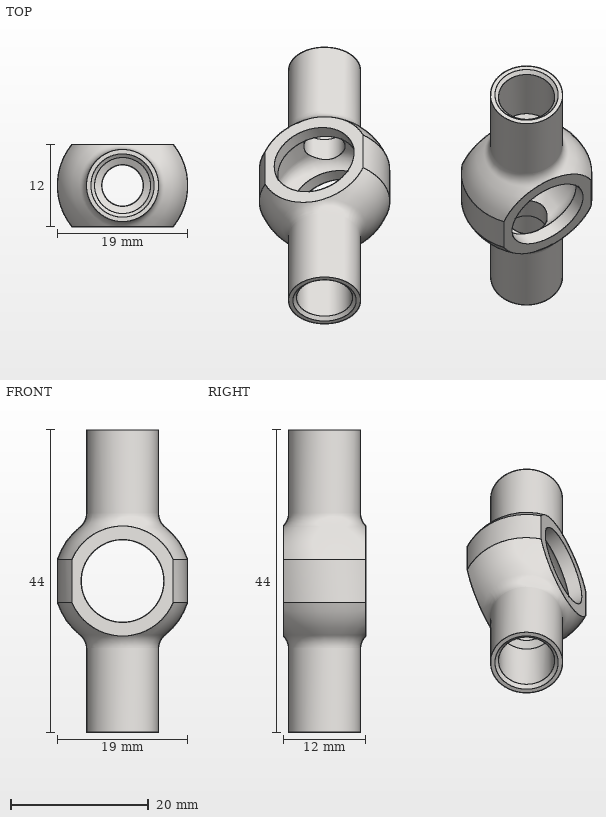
import cadquery as cq
import math

sphere_radius = 10.0
waist_radius = 9.5
body_depth = 12.0
waist_half_height = math.sqrt(sphere_radius**2 - waist_radius**2)

total_height = 44.0
tube_radius = 10.5 / 2
neck_fillet_radius = 2.5

passage_radius = 6.0 / 2
tube_bore_radius = 8.15 / 2
tube_bore_depth = 10.0
drill_point_angle = 118.0
mouth_radius = 9.2 / 2
mouth_chamfer_depth = 0.5

cross_bore_radius = 12.0 / 2
groove_radius = 8.0
groove_width = 8.0
groove_corner_radius = 2.5

half_height = total_height / 2


def make_outer_body():
    """Revolve the outer profile about Z and flatten the front and back."""
    fillet_x = tube_radius + neck_fillet_radius
    fillet_distance = sphere_radius + neck_fillet_radius
    fillet_z = math.sqrt(fillet_distance**2 - fillet_x**2)
    sphere_angle = math.atan2(fillet_z, fillet_x)
    waist_angle = math.atan2(waist_half_height, waist_radius)
    sphere_mid_angle = (sphere_angle + waist_angle) / 2
    fillet_mid_angle = math.pi + sphere_angle / 2

    touch_x = sphere_radius * math.cos(sphere_angle)
    touch_z = sphere_radius * math.sin(sphere_angle)
    sphere_mid_x = sphere_radius * math.cos(sphere_mid_angle)
    sphere_mid_z = sphere_radius * math.sin(sphere_mid_angle)
    fillet_mid_x = fillet_x + neck_fillet_radius * math.cos(fillet_mid_angle)
    fillet_mid_z = fillet_z + neck_fillet_radius * math.sin(fillet_mid_angle)

    upper_half = (
        cq.Workplane("XZ")
        .moveTo(0, 0)
        .lineTo(waist_radius, 0)
        .lineTo(waist_radius, waist_half_height)
        .threePointArc((sphere_mid_x, sphere_mid_z), (touch_x, touch_z))
        .threePointArc((fillet_mid_x, fillet_mid_z), (tube_radius, fillet_z))
        .lineTo(tube_radius, half_height)
        .lineTo(0, half_height)
        .close()
        .revolve(360, (0, 0), (0, 1))
    )
    body = upper_half.union(upper_half.mirror("XY")).clean()
    slab = cq.Workplane("XY").box(2 * sphere_radius, body_depth, total_height)
    return body.intersect(slab)


def make_tube_bore():
    """Upper bore: passage, drill cone, tube bore and chamfered mouth."""
    cone_run = tube_bore_radius - passage_radius
    cone_height = cone_run / math.tan(math.radians(drill_point_angle / 2))
    cone_top = half_height - tube_bore_depth
    return (
        cq.Workplane("XZ")
        .moveTo(0, 0)
        .lineTo(passage_radius, 0)
        .lineTo(passage_radius, cone_top - cone_height)
        .lineTo(tube_bore_radius, cone_top)
        .lineTo(tube_bore_radius, half_height - mouth_chamfer_depth)
        .lineTo(mouth_radius, half_height)
        .lineTo(0, half_height)
        .close()
        .revolve(360, (0, 0), (0, 1))
    )


def make_cross_bore():
    """Through bore along Y with a ring groove whose corners are rounded."""
    straight_bore = (
        cq.Workplane("XZ")
        .circle(cross_bore_radius)
        .extrude(body_depth / 2, both=True)
    )
    groove = (
        cq.Workplane("XZ")
        .circle(groove_radius)
        .extrude(groove_width / 2, both=True)
        .edges("%CIRCLE")
        .fillet(groove_corner_radius)
    )
    return straight_bore.union(groove)


upper_bore = make_tube_bore()
lower_bore = upper_bore.mirror("XY")
result = make_outer_body().cut(upper_bore).cut(lower_bore).cut(make_cross_bore())